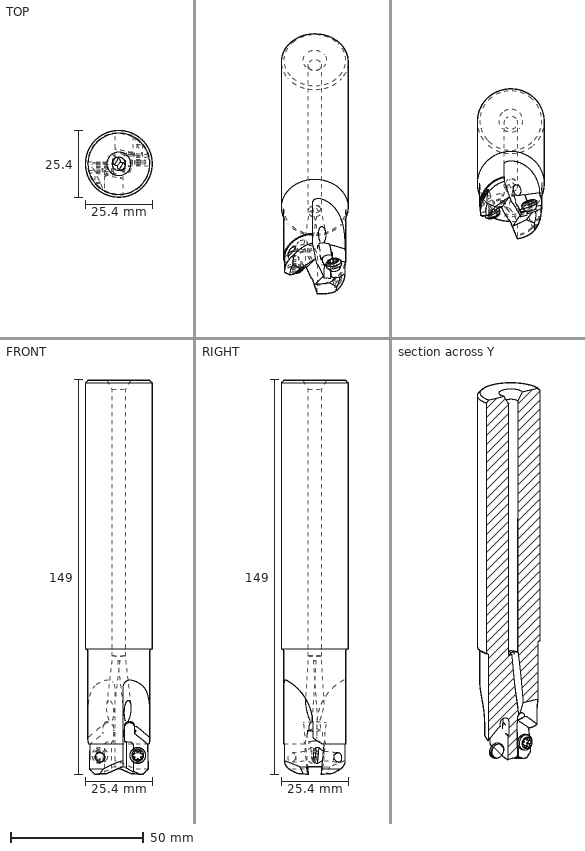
import cadquery as cq
import math

LENGTH = 149.0
SHANK_RADIUS = 12.7
SHANK_CHAMFER = 1.0
NECK_TOP = 47.4
NECK_RADIUS = 11.8
NECK_FILLET = 0.7
HEAD_TOP = 11.5
HEAD_RADIUS = 11.5

SIDES = 2

FLUTE_WALL_X = 1.5
FLUTE_FLOOR_Y = -0.7
FLUTE_CORNER_RADIUS = 3.3
FLUTE_RUNOUT_RADIUS = 19.2
FLUTE_RUNOUT_Z = 18.8

SEAT_Y = 2.4
SEAT_TILT = 5.5
SEAT_WALL_X = 2.8
SEAT_WALL_TAPER = 10.0
SEAT_STOP_TAPER = 25.0
SEAT_POCKET_DEPTH = 6.7
SEAT_RELIEF_RADIUS = 2.0
SEAT_RELIEF_X = 4.0
SEAT_RELIEF_Z = 17.7
SEAT_SHOULDER_Z = 15.5
SEAT_STOP_SLOPE = 0.8
SEAT_GROOVE_EDGE_X = 5.5
SEAT_GROOVE_TOP = 12.4
SEAT_GROOVE_DEPTH = 0.5
SEAT_GROOVE_RADIUS = 1.5

WEB_SLOT_DEPTH = 2.8
CORNER_CHAMFER = 2.1
RELIEF_SLOPE_X = 0.03
RELIEF_SLOPE_Y = 0.06
GASH_HEIGHT = 0.1
GASH_SLOPE_X = 0.35
GASH_SLOPE_Y = 0.4
INNER_GASH_HEIGHT = 6.5
INNER_GASH_SLOPE_X = 0.6
INNER_GASH_SLOPE_Y = -0.8

BORE_RADIUS = 2.5
BORE_MOUTH_RADIUS = 4.5
BORE_MOUTH_DEPTH = 3.5
BORE_BOTTOM = 44.7
OUTLET_RADIUS = 1.5
OUTLET_START_OFFSET = 0.9
OUTLET_POINT = (3.3, -2.2, 24.5)
OUTLET_OVERRUN = 6.0

SCREW_X = 7.2
SCREW_Z = 7.0
SCREW_RADIUS = 1.8
SCREW_LENGTH = 4.2
SCREW_HEAD_RADIUS = 3.0
SCREW_HEAD_HEIGHT = 3.6
SCREW_CONE_HEIGHT = 1.8
SCREW_HEAD_CHAMFER = 0.7
SOCKET_LOBES = 6
SOCKET_CORE_RADIUS = 1.3
SOCKET_LOBE_RADIUS = 0.6
SOCKET_DEPTH = 1.8

CLEAR = 2 * SHANK_RADIUS
TIP_X = math.sqrt((HEAD_RADIUS - CORNER_CHAMFER) ** 2 - SEAT_Y**2)
RELIEF_HEIGHT = RELIEF_SLOPE_X * TIP_X - RELIEF_SLOPE_Y * SEAT_Y
TILT_SLOPE = math.tan(math.radians(SEAT_TILT))
SEAT_PLANE = cq.Plane(origin=(0, SEAT_Y, 0), xDir=(1, 0, 0), normal=(0, -1, TILT_SLOPE))


def both_sides(shape):
    """The shape and its copies turned about Z, one for each cutting side."""
    step = 360 / SIDES
    return [shape.rotate((0, 0, 0), (0, 0, 1), i * step) for i in range(SIDES)]


def make_blank():
    """Shank, neck and head turned as one stepped bar."""
    bend = NECK_FILLET * (1 - math.sqrt(0.5))
    return (
        cq.Workplane("XZ")
        .moveTo(0, 0)
        .lineTo(-(HEAD_RADIUS - CORNER_CHAMFER), 0)
        .lineTo(-HEAD_RADIUS, CORNER_CHAMFER)
        .lineTo(-HEAD_RADIUS, HEAD_TOP)
        .lineTo(-NECK_RADIUS, HEAD_TOP)
        .lineTo(-NECK_RADIUS, NECK_TOP - NECK_FILLET)
        .threePointArc(
            (-(NECK_RADIUS + bend), NECK_TOP - bend),
            (-(NECK_RADIUS + NECK_FILLET), NECK_TOP),
        )
        .lineTo(-SHANK_RADIUS, NECK_TOP)
        .lineTo(-SHANK_RADIUS, LENGTH - SHANK_CHAMFER)
        .lineTo(-(SHANK_RADIUS - SHANK_CHAMFER), LENGTH)
        .lineTo(0, LENGTH)
        .close()
        .revolve(360, (0, 0, 0), (0, 1, 0))
    )


def make_flute():
    """Chip flute: an upright floor that runs out upward in an arc, with a rounded inner corner."""
    outer_y = FLUTE_FLOOR_Y - FLUTE_RUNOUT_RADIUS
    arc_mid = FLUTE_RUNOUT_RADIUS * math.sqrt(0.5)
    profile = (
        cq.Workplane("YZ", origin=(FLUTE_WALL_X, 0, 0))
        .moveTo(FLUTE_FLOOR_Y, -CLEAR)
        .lineTo(FLUTE_FLOOR_Y, FLUTE_RUNOUT_Z)
        .threePointArc(
            (outer_y + arc_mid, FLUTE_RUNOUT_Z + arc_mid),
            (outer_y, FLUTE_RUNOUT_Z + FLUTE_RUNOUT_RADIUS),
        )
        .lineTo(outer_y, -CLEAR)
        .close()
        .extrude(CLEAR)
    )
    margin = 0.1
    floor_corner = cq.selectors.BoxSelector(
        (FLUTE_WALL_X - margin, outer_y + margin, -CLEAR + margin),
        (FLUTE_WALL_X + margin, 0, 2 * CLEAR),
    )
    return profile.edges(floor_corner).fillet(FLUTE_CORNER_RADIUS)


def make_seat_pocket():
    """Insert seat: a bay beside the web, a flared bay under the stop wall, a relief and a groove."""
    relief_left = SEAT_RELIEF_X - SEAT_RELIEF_RADIUS
    relief_right = SEAT_RELIEF_X + SEAT_RELIEF_RADIUS
    stop_end_z = SEAT_SHOULDER_Z - SEAT_STOP_SLOPE * (CLEAR - relief_right)
    seat = cq.Workplane(SEAT_PLANE)
    web_bay = (
        seat.moveTo(SEAT_WALL_X, -CLEAR)
        .lineTo(SEAT_WALL_X, SEAT_SHOULDER_Z)
        .lineTo(relief_right, SEAT_SHOULDER_Z)
        .lineTo(relief_right, -CLEAR)
        .close()
        .extrude(SEAT_POCKET_DEPTH, taper=-SEAT_WALL_TAPER)
    )
    stop_bay = (
        seat.moveTo(relief_right, stop_end_z)
        .lineTo(relief_right, SEAT_SHOULDER_Z)
        .lineTo(CLEAR, stop_end_z)
        .close()
        .extrude(SEAT_POCKET_DEPTH, taper=-SEAT_STOP_TAPER)
    )
    relief = (
        seat.moveTo(relief_left, SEAT_GROOVE_TOP)
        .lineTo(relief_left, SEAT_RELIEF_Z)
        .threePointArc((SEAT_RELIEF_X, SEAT_RELIEF_Z + SEAT_RELIEF_RADIUS), (relief_right, SEAT_RELIEF_Z))
        .lineTo(relief_right, SEAT_GROOVE_TOP)
        .close()
        .extrude(SEAT_POCKET_DEPTH)
    )
    groove = (
        seat.moveTo(SEAT_WALL_X, -CLEAR)
        .lineTo(SEAT_WALL_X, SEAT_GROOVE_TOP)
        .lineTo(SEAT_GROOVE_EDGE_X - SEAT_GROOVE_RADIUS, SEAT_GROOVE_TOP)
        .radiusArc((SEAT_GROOVE_EDGE_X, SEAT_GROOVE_TOP - SEAT_GROOVE_RADIUS), SEAT_GROOVE_RADIUS)
        .lineTo(SEAT_GROOVE_EDGE_X, -CLEAR)
        .close()
        .extrude(-SEAT_GROOVE_DEPTH)
    )
    return web_bay.union(stop_bay).union(relief).union(groove)


def make_end_cut(height, slope_x, slope_y):
    """Material in front of the web, below a plane that rises by the slopes toward +X and -Y."""
    normal = cq.Vector(-slope_x, slope_y, 1)
    plane = cq.Plane(origin=(0, 0, height), xDir=(1, 0, slope_x), normal=normal)
    below = cq.Workplane(plane).rect(2 * CLEAR, 2 * CLEAR).extrude(-CLEAR)
    front = cq.Workplane("XY", origin=(0, -SEAT_Y - CLEAR / 2, 0)).box(2 * CLEAR, CLEAR, 2 * CLEAR)
    return below.intersect(front)


def make_inner_gash():
    """Steeper end cut beside the web, no higher than the web slot."""
    slab = cq.Workplane("XY").box(2 * CLEAR, 2 * CLEAR, 2 * WEB_SLOT_DEPTH)
    return make_end_cut(INNER_GASH_HEIGHT, INNER_GASH_SLOPE_X, INNER_GASH_SLOPE_Y).intersect(slab)


def make_web_slot():
    """Slot across the end face between the two seats."""
    return cq.Workplane("XY").box(2 * CLEAR, 2 * SEAT_Y, 2 * WEB_SLOT_DEPTH)


def make_bore():
    """Central coolant bore with a conical mouth."""
    return (
        cq.Workplane("XZ")
        .moveTo(0, BORE_BOTTOM)
        .lineTo(BORE_RADIUS, BORE_BOTTOM)
        .lineTo(BORE_RADIUS, LENGTH - BORE_MOUTH_DEPTH)
        .lineTo(BORE_MOUTH_RADIUS, LENGTH)
        .lineTo(0, LENGTH)
        .close()
        .revolve(360, (0, 0, 0), (0, 1, 0))
    )


def make_outlet():
    """Slanted coolant hole from the bottom of the bore into the flute."""
    start = cq.Vector(OUTLET_START_OFFSET, -OUTLET_START_OFFSET, BORE_BOTTOM)
    run = cq.Vector(*OUTLET_POINT) - start
    plane = cq.Plane(origin=start, normal=run)
    return cq.Workplane(plane).circle(OUTLET_RADIUS).extrude(run.Length + OUTLET_OVERRUN)


def screw_workplane():
    """Plane on the seat, centred on the screw axis and facing out of the seat."""
    return cq.Workplane(SEAT_PLANE).center(SCREW_X, SCREW_Z)


def make_screw_hole():
    """Through hole for the screw, open at the back of the seat."""
    return screw_workplane().circle(SCREW_RADIUS).extrude(-CLEAR)


def make_screw():
    """Countersunk screw with a six-lobe socket, its axis square to the seat."""
    frame = screw_workplane().plane
    rim = SCREW_HEAD_RADIUS - SCREW_HEAD_CHAMFER
    body = (
        cq.Workplane("XZ")
        .moveTo(0, -SCREW_LENGTH)
        .lineTo(SCREW_RADIUS, -SCREW_LENGTH)
        .lineTo(SCREW_RADIUS, 0)
        .lineTo(SCREW_HEAD_RADIUS, SCREW_CONE_HEIGHT)
        .lineTo(SCREW_HEAD_RADIUS, SCREW_HEAD_HEIGHT - SCREW_HEAD_CHAMFER)
        .lineTo(rim, SCREW_HEAD_HEIGHT)
        .lineTo(0, SCREW_HEAD_HEIGHT)
        .close()
        .revolve(360, (0, 0, 0), (0, 1, 0))
    )
    top = cq.Workplane("XY", origin=(0, 0, SCREW_HEAD_HEIGHT))
    core = top.circle(SOCKET_CORE_RADIUS).extrude(-SOCKET_DEPTH)
    lobes = (
        top.polarArray(SOCKET_CORE_RADIUS, 0, 360, SOCKET_LOBES)
        .circle(SOCKET_LOBE_RADIUS)
        .extrude(-SOCKET_DEPTH)
    )
    return cq.Workplane(body.cut(core).cut(lobes).val().moved(frame.location))


def make_holder():
    """Holder body with everything cut on both sides."""
    holder = make_blank()
    holder = holder.cut(make_web_slot()).cut(make_bore())
    cutters = [
        make_flute(),
        make_seat_pocket(),
        make_end_cut(RELIEF_HEIGHT, RELIEF_SLOPE_X, RELIEF_SLOPE_Y),
        make_end_cut(GASH_HEIGHT, GASH_SLOPE_X, GASH_SLOPE_Y),
        make_inner_gash(),
        make_outlet(),
        make_screw_hole(),
    ]
    for cutter in cutters:
        for copy in both_sides(cutter):
            holder = holder.cut(copy)
    return holder


holder = make_holder()
screws = both_sides(make_screw())

result = cq.Compound.makeCompound([holder.val(), *[screw.val() for screw in screws]])